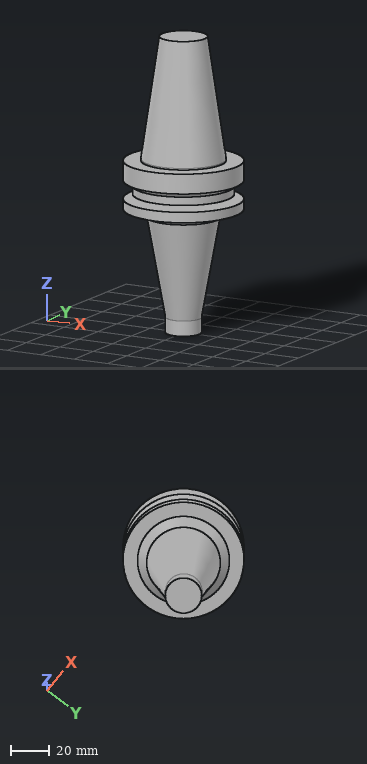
import cadquery as cq

nose_top = 8.4
nose_cone_top = 62.0
collar_top = 66.0
lower_flange_top = 71.6
groove_bottom = 74.1
groove_top = 78.5
upper_flange_bottom = 81.4
upper_flange_top = 92.0
shank_neck_top = 93.0
total_height = 158.4

nose_radius = 19.0 / 2
nose_cone_radius = 38.3 / 2
collar_radius = 47.8 / 2
flange_radius = 63.0 / 2
groove_radius = 53.0 / 2
shank_radius = 44.5 / 2
shank_end_radius = 25.3 / 2

half_section = [
    (0, 0),
    (nose_radius, 0),
    (nose_radius, nose_top),
    (nose_cone_radius, nose_cone_top),
    (collar_radius, collar_top),
    (flange_radius, collar_top),
    (flange_radius, lower_flange_top),
    (groove_radius, groove_bottom),
    (groove_radius, groove_top),
    (flange_radius, upper_flange_bottom),
    (flange_radius, upper_flange_top),
    (shank_radius, upper_flange_top),
    (shank_radius, shank_neck_top),
    (shank_end_radius, total_height),
    (0, total_height),
]

result = (
    cq.Workplane("XZ")
    .polyline(half_section)
    .close()
    .revolve(360, (0, 0, 0), (0, 1, 0))
)